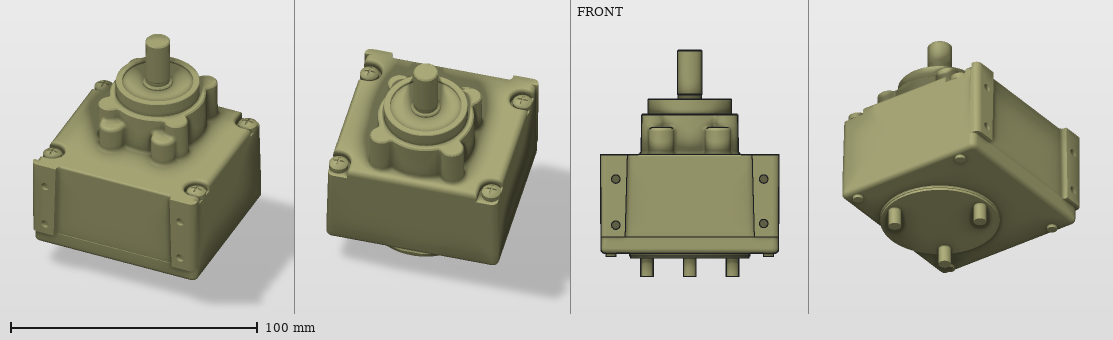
import cadquery as cq
import math


SHAFT_TOP = 42.5
BOSS_TOP = 22.5
TURRET_TOP = 16.6
CASE_BOTTOM = -33.4
COVER_BOTTOM = -40.1
SCREW_TIP_BOTTOM = -41.4
MOTOR_SEAT_BOTTOM = -41.1
MOTOR_FLANGE_BOTTOM = -42.0
OVERALL_HEIGHT = 92
PIN_BOTTOM = SHAFT_TOP - OVERALL_HEIGHT

HALF_WIDTH = 36.1
BACK_Y = 24.0
COVER_FRONT_Y = -43.0
PANEL_Y = -42.7
CASE_DRAFT = 1.1
CORNER_RADIUS = 2.5
TOP_EDGE_RADIUS = 2.4
PANEL_EDGE_RADIUS = 0.9
COVER_EDGE_RADIUS = 1.8

RAIL_FRONT_Y = -45.0
RAIL_BACK_TOP_Y = -41.8
RAIL_BACK_BOTTOM_Y = -40.5
OVERALL_WIDTH = 72.6
RAIL_OUTER_TOP = OVERALL_WIDTH / 2
RAIL_OUTER_BOTTOM = HALF_WIDTH
RAIL_INNER_TOP = 25.3
RAIL_INNER_BOTTOM = 26.2
RAIL_ROOT_RADIUS = 1.4
MOUNT_HOLE_X = 30.0
MOUNT_HOLE_UPPER_Z = -9.9
MOUNT_HOLE_LEFT_LOWER_Z = -28.6
MOUNT_HOLE_RIGHT_LOWER_Z = -28.0
MOUNT_HOLE_DIAMETER = 3.4
MOUNT_HOLE_DEPTH = 7.4

TURRET_RADIUS = 19.5
LOBE_RADIUS = 4.7
LOBE_OFFSET = 14.7
TURRET_DRAFT = 1.0
TURRET_NOTCH_RADIUS = 1.6
TURRET_ROOT_RADIUS = 1.5
TURRET_TOP_CHAMFER = 0.55
BUMP_X = 11.5
BUMP_Y = -20.05
BUMP_RADIUS = 5.1
BUMP_TOP = 11.0
BUMP_EDGE_RADIUS = 1.7
BUMP_SEAM_RADIUS = 1.4

BOSS_RADIUS = 17.0
BOSS_CHAMFER = 0.3
RECESS_RADIUS = 14.35
RECESS_DEPTH = 1.1
COLLAR_RADIUS = 6.1
COLLAR_CHAMFER = 0.5
SHAFT_DIAMETER = 10.0
SHAFT_RADIUS = SHAFT_DIAMETER / 2
SHAFT_CHAMFER = 0.55
NECK_RADIUS = 4.8
NECK_TOP = 24.1
SHAFT_BOTTOM = 24.65

SCREW_SPACING_X = 63.9
SCREW_X = SCREW_SPACING_X / 2
SCREW_BACK_Y = 17.9
SCREW_FRONT_Y = -33.1
POCKET_RADIUS = 5.0
POCKET_DEPTH = 3.9
POCKET_EDGE_RADIUS = 1.4
HEAD_RADIUS = 3.9
HEAD_RIM_Z = -1.7
HEAD_TOP_Z = -0.2
CROSS_LENGTH = 4.7
CROSS_WIDTH = 0.8
CROSS_DEPTH = 1.1
SCREW_TIP_DIAMETER = 4.1
SCREW_TIP_RADIUS = SCREW_TIP_DIAMETER / 2

MOTOR_FLANGE_RADIUS = 24.0
MOTOR_SEAT_RADIUS = 24.4
PIN_CIRCLE_RADIUS = 20.05
PIN_RADIUS = 2.6
PIN_COUNT = 3

SIDES = (-1, 1)


def cylinder(radius, bottom, top, x=0, y=0, taper=0):
    return (
        cq.Workplane("XY", origin=(x, y, bottom))
        .circle(radius)
        .extrude(top - bottom, taper=taper)
    )


def block(x_range, y_range, z_range):
    size = [high - low for low, high in (x_range, y_range, z_range)]
    corner = (x_range[0], y_range[0], z_range[0])
    return cq.Workplane("XY").box(*size, centered=False).translate(corner)


def make_case():
    front_margin = 4.6
    depth = BACK_Y - PANEL_Y + front_margin
    case = (
        cq.Workplane("XY", origin=(0, BACK_Y - depth / 2, CASE_BOTTOM))
        .rect(2 * HALF_WIDTH, depth)
        .extrude(-CASE_BOTTOM, taper=CASE_DRAFT)
    )
    case = case.intersect(
        block((-HALF_WIDTH, HALF_WIDTH), (PANEL_Y, BACK_Y), (CASE_BOTTOM, 0))
    )
    case = case.edges("not(#Z or |X or |Y)").edges(">Y").fillet(CORNER_RADIUS)
    case = case.faces(">Z").edges("not(<Y)").fillet(TOP_EDGE_RADIUS)
    case = case.faces(">Z").edges("<Y").fillet(PANEL_EDGE_RADIUS)
    return case


def make_rail(side):
    rail_depth = RAIL_BACK_BOTTOM_Y - RAIL_FRONT_Y
    rail = (
        cq.Workplane("XZ", origin=(0, RAIL_BACK_BOTTOM_Y, 0))
        .moveTo(side * RAIL_INNER_TOP, 0)
        .lineTo(side * RAIL_OUTER_TOP, 0)
        .lineTo(side * RAIL_OUTER_BOTTOM, CASE_BOTTOM)
        .lineTo(side * RAIL_INNER_BOTTOM, CASE_BOTTOM)
        .close()
        .extrude(rail_depth)
    )
    side_profile = (
        cq.Workplane("YZ")
        .moveTo(RAIL_FRONT_Y, 0)
        .lineTo(RAIL_BACK_TOP_Y, 0)
        .lineTo(RAIL_BACK_BOTTOM_Y, CASE_BOTTOM)
        .lineTo(RAIL_FRONT_Y, CASE_BOTTOM)
        .close()
        .extrude(side * OVERALL_WIDTH)
    )
    outer_face = ">X" if side > 0 else "<X"
    return rail.intersect(side_profile).edges("<Y").edges(outer_face).fillet(CORNER_RADIUS)


def blend_rail_root(body, side):
    wall_x = side * (RAIL_INNER_TOP + RAIL_INNER_BOTTOM) / 2
    reach = 0.9
    root_zone = cq.selectors.BoxSelector(
        (wall_x - reach, PANEL_Y - reach, CASE_BOTTOM + reach),
        (wall_x + reach, PANEL_Y + reach, -PANEL_EDGE_RADIUS),
    )
    return body.edges(root_zone).fillet(RAIL_ROOT_RADIUS)


def make_cover():
    cover = block(
        (-HALF_WIDTH, HALF_WIDTH), (COVER_FRONT_Y, BACK_Y), (COVER_BOTTOM, CASE_BOTTOM)
    )
    return cover.edges("|Z").fillet(CORNER_RADIUS).faces("<Z").edges().fillet(COVER_EDGE_RADIUS)


def make_turret():
    drift = TURRET_TOP * math.tan(math.radians(TURRET_DRAFT))
    turret = cylinder(TURRET_RADIUS + drift, 0, TURRET_TOP, taper=TURRET_DRAFT)
    for x in SIDES:
        for y in SIDES:
            lobe = cylinder(
                LOBE_RADIUS + drift, 0, TURRET_TOP, x * LOBE_OFFSET, y * LOBE_OFFSET, TURRET_DRAFT
            )
            turret = turret.union(lobe)
    turret = turret.edges("%BSPLINE").fillet(TURRET_NOTCH_RADIUS)
    turret = turret.faces(">Z").chamfer(TURRET_TOP_CHAMFER)
    for x in SIDES:
        bump = cylinder(BUMP_RADIUS, 0, BUMP_TOP, x * BUMP_X, BUMP_Y)
        turret = turret.union(bump.faces(">Z").fillet(BUMP_EDGE_RADIUS))
    half_height = BUMP_TOP / 2
    seam_zone = cq.selectors.BoxSelector(
        (-TURRET_RADIUS, BUMP_Y - BUMP_RADIUS, half_height - BUMP_SEAM_RADIUS),
        (TURRET_RADIUS, -LOBE_OFFSET, half_height),
    )
    return turret.edges(seam_zone).edges("%BSPLINE").fillet(BUMP_SEAM_RADIUS)


def blend_turret_root(body):
    reach = TURRET_RADIUS + LOBE_RADIUS
    flat = 0.01
    root_zone = cq.selectors.BoxSelector(
        (-reach, BUMP_Y - BUMP_RADIUS, -flat), (reach, TURRET_RADIUS + TURRET_NOTCH_RADIUS, flat)
    )
    return body.edges(root_zone).fillet(TURRET_ROOT_RADIUS)


def make_boss():
    boss = cylinder(BOSS_RADIUS, TURRET_TOP, BOSS_TOP).faces(">Z").chamfer(BOSS_CHAMFER)
    recess_floor = BOSS_TOP - RECESS_DEPTH
    boss = boss.cut(cylinder(RECESS_RADIUS, recess_floor, BOSS_TOP))
    recess_rim = cq.selectors.RadiusNthSelector(0)
    boss = boss.faces(">Z").edges("%CIRCLE").edges(recess_rim).chamfer(BOSS_CHAMFER)
    collar = cylinder(COLLAR_RADIUS, recess_floor, BOSS_TOP).faces(">Z").chamfer(COLLAR_CHAMFER)
    return boss.union(collar)


def make_shaft():
    return (
        cq.Workplane("XZ")
        .moveTo(0, TURRET_TOP)
        .lineTo(NECK_RADIUS, TURRET_TOP)
        .lineTo(NECK_RADIUS, NECK_TOP)
        .lineTo(SHAFT_RADIUS, SHAFT_BOTTOM)
        .lineTo(SHAFT_RADIUS, SHAFT_TOP - SHAFT_CHAMFER)
        .lineTo(SHAFT_RADIUS - SHAFT_CHAMFER, SHAFT_TOP)
        .lineTo(0, SHAFT_TOP)
        .close()
        .revolve(360, (0, 0), (0, 1))
    )


def make_pocket(side, y, reaches_back):
    x = side * SCREW_X
    outside = side * (HALF_WIDTH + POCKET_EDGE_RADIUS)
    rim = POCKET_RADIUS + 2 * POCKET_EDGE_RADIUS
    back_edge = BACK_Y if reaches_back else y + rim
    height = (-POCKET_DEPTH, 0)
    blank = block(
        (min(x - side * rim, outside), max(x - side * rim, outside)), (y - rim, back_edge), height
    )

    hollow = cylinder(POCKET_RADIUS, *height, x, y)
    side_slot = (min(x, outside), max(x, outside))
    hollow = hollow.union(block(side_slot, (y - POCKET_RADIUS, y + POCKET_RADIUS), height))
    if reaches_back:
        inner_wall = x - side * POCKET_RADIUS
        back_slot = (min(inner_wall, outside), max(inner_wall, outside))
        hollow = hollow.union(block(back_slot, (y, back_edge), height))

    surround = blank.cut(hollow.clean())
    surround = surround.faces(">Z").edges("%CIRCLE").fillet(POCKET_EDGE_RADIUS)
    return blank.cut(surround)


def make_screw(x, y):
    dome_height = HEAD_TOP_Z - HEAD_RIM_Z
    dome_radius = (HEAD_RADIUS**2 + dome_height**2) / (2 * dome_height)
    arc_x = HEAD_RADIUS / 2
    arc_z = HEAD_TOP_Z - dome_radius + math.sqrt(dome_radius**2 - arc_x**2)
    head = (
        cq.Workplane("XZ")
        .moveTo(0, -POCKET_DEPTH)
        .lineTo(HEAD_RADIUS, -POCKET_DEPTH)
        .lineTo(HEAD_RADIUS, HEAD_RIM_Z)
        .threePointArc((arc_x, arc_z), (0, HEAD_TOP_Z))
        .close()
        .revolve(360, (0, 0), (0, 1))
    )
    for length, width in ((CROSS_LENGTH, CROSS_WIDTH), (CROSS_WIDTH, CROSS_LENGTH)):
        cross_arm = cq.Workplane("XY").rect(length, width).extrude(-CROSS_DEPTH)
        head = head.cut(cross_arm)
    tip = cylinder(SCREW_TIP_RADIUS, SCREW_TIP_BOTTOM, COVER_BOTTOM)
    return head.union(tip).translate((x, y, 0))


def make_motor_flange():
    plate = cylinder(MOTOR_FLANGE_RADIUS, MOTOR_FLANGE_BOTTOM, COVER_BOTTOM)
    seat = cylinder(MOTOR_SEAT_RADIUS, MOTOR_SEAT_BOTTOM, COVER_BOTTOM)
    behind_back = block(
        (-MOTOR_SEAT_RADIUS, MOTOR_SEAT_RADIUS),
        (BACK_Y, MOTOR_SEAT_RADIUS),
        (MOTOR_SEAT_BOTTOM, COVER_BOTTOM),
    )
    return plate.union(seat.cut(behind_back))


def make_pins():
    pins = cq.Workplane("XY", origin=(0, 0, PIN_BOTTOM))
    pins = pins.polarArray(PIN_CIRCLE_RADIUS, -90, 360, PIN_COUNT).circle(PIN_RADIUS)
    return pins.extrude(COVER_BOTTOM - PIN_BOTTOM)


def make_mount_hole(x, z):
    hole = cq.Workplane("XZ", origin=(x, RAIL_FRONT_Y, z)).circle(MOUNT_HOLE_DIAMETER / 2)
    return hole.extrude(-MOUNT_HOLE_DEPTH)


body = blend_turret_root(make_case().union(make_turret()))
for side in SIDES:
    body = blend_rail_root(body.union(make_rail(side)), side)
body = body.union(make_cover())
body = body.union(make_boss()).union(make_shaft())

for side in SIDES:
    for y, reaches_back in ((SCREW_BACK_Y, True), (SCREW_FRONT_Y, False)):
        body = body.cut(make_pocket(side, y, reaches_back))
        body = body.union(make_screw(side * SCREW_X, y))

body = body.union(make_motor_flange())
body = body.union(make_pins())

for side, lower_z in ((-1, MOUNT_HOLE_LEFT_LOWER_Z), (1, MOUNT_HOLE_RIGHT_LOWER_Z)):
    for z in (MOUNT_HOLE_UPPER_Z, lower_z):
        body = body.cut(make_mount_hole(side * MOUNT_HOLE_X, z))

result = body